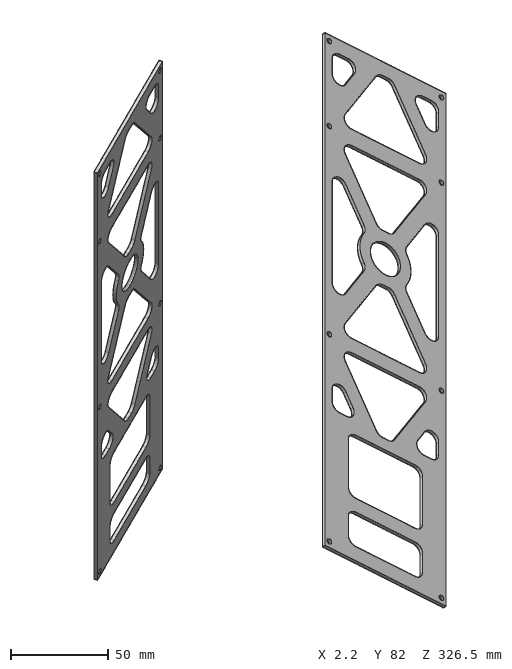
import cadquery as cq
import math

LENGTH = 326.5
WIDTH = 82.0
THICKNESS = 2.0
SIDE_LEAN = 0.2
TURN = -math.degrees(math.atan(SIDE_LEAN / WIDTH))
CORNER_RADIUS = 5.0

RING_Z = 38.5
UPPER_WEB_Z = 105.0
LOWER_WEB_Z = -27.5

TRIANGLE_HEIGHT = 44.0
TRIANGLE_HALF_BASE = 31.7
STRUT_ANGLE = math.radians(58.5)
SLOPE = math.tan(STRUT_ANGLE)
UPPER_WEB_HALF = 5.2
LOWER_WEB_HALF = 4.5

EDGE_WINDOW_Y = 36.0
STRUT_WIDTH = 9.8
RING_RADIUS = 17.3
RING_BORE_RADIUS = 10.0
TOP_WINDOW_Z = 154.0
BOTTOM_WINDOW_Z = -74.0

RECTANGLE_WIDTH = 50.0
LARGE_TOP_Z = -83.3
LARGE_HEIGHT = 40.0
SMALL_TOP_Z = -132.2
SMALL_HEIGHT = 22.0

HOLE_RADIUS = 1.5
HOLE_Y = 38.0
HOLE_END_Z = 159.3
HOLE_ROWS = (HOLE_END_Z, UPPER_WEB_Z, LOWER_WEB_Z, -HOLE_END_Z)


def prism(points):
    """Straight-sided cutter through the whole plate; points are (y, z)."""
    return cq.Workplane("YZ").polyline(points).close().extrude(THICKNESS / 2, both=True)


def disc(y, z, radius):
    """Round cutter through the whole plate."""
    return cq.Workplane("YZ").center(y, z).circle(radius).extrude(THICKNESS / 2, both=True)


def triangle(base_z, direction):
    """Blunt triangle based at base_z, with its tip pointing along direction (+1 up, -1 down)."""
    tip_z = base_z + direction * TRIANGLE_HEIGHT
    tip_half = TRIANGLE_HALF_BASE - TRIANGLE_HEIGHT / SLOPE
    window = prism([
        (-TRIANGLE_HALF_BASE, base_z),
        (TRIANGLE_HALF_BASE, base_z),
        (tip_half, tip_z),
        (-tip_half, tip_z),
    ])
    return window.edges("|X").fillet(CORNER_RADIUS)


def strut_offset():
    """Y distance from a triangle's side to the edge window on the other side of the strut."""
    return STRUT_WIDTH / math.sin(STRUT_ANGLE)


def strut_z(y, web_z, web_half, direction):
    """Height at y of the edge window's sloping side, for a strut starting at a web."""
    return web_z + direction * (web_half + (TRIANGLE_HALF_BASE + strut_offset() - y) * SLOPE)


def end_window(web_z, web_half, direction, end_z):
    """Small three-sided window on the +Y side, closed by a level side at end_z."""
    outer_z = strut_z(EDGE_WINDOW_Y, web_z, web_half, direction)
    rise = direction * (end_z - outer_z)
    window = prism([
        (EDGE_WINDOW_Y, outer_z),
        (EDGE_WINDOW_Y, end_z),
        (EDGE_WINDOW_Y - rise / SLOPE, end_z),
    ])
    return window.edges("|X").fillet(CORNER_RADIUS)


def ring_window():
    """Long window on the +Y side, notched by the ring around the bore."""
    upper_z = strut_z(EDGE_WINDOW_Y, UPPER_WEB_Z, UPPER_WEB_HALF, -1)
    lower_z = strut_z(EDGE_WINDOW_Y, LOWER_WEB_Z, LOWER_WEB_HALF, 1)
    inner_y = EDGE_WINDOW_Y - (upper_z - lower_z) / 2 / SLOPE
    window = prism([
        (EDGE_WINDOW_Y, upper_z),
        (EDGE_WINDOW_Y, lower_z),
        (inner_y, (upper_z + lower_z) / 2),
    ])
    window = window.cut(disc(0, RING_Z, RING_RADIUS))
    return window.edges("|X").fillet(CORNER_RADIUS)


def rectangle(top_z, height):
    """Centred rectangular cutter with rounded corners, hanging from top_z."""
    window = cq.Workplane("XY").box(THICKNESS, RECTANGLE_WIDTH, height)
    return window.edges("|X").fillet(CORNER_RADIUS).translate((0, 0, top_z - height / 2))


plate = cq.Workplane("XY").box(THICKNESS, WIDTH, LENGTH)

for web_z, web_half in ((UPPER_WEB_Z, UPPER_WEB_HALF), (LOWER_WEB_Z, LOWER_WEB_HALF)):
    for direction in (1, -1):
        plate = plate.cut(triangle(web_z + direction * web_half, direction))

for window in (
    end_window(UPPER_WEB_Z, UPPER_WEB_HALF, 1, TOP_WINDOW_Z),
    ring_window(),
    end_window(LOWER_WEB_Z, LOWER_WEB_HALF, -1, BOTTOM_WINDOW_Z),
):
    plate = plate.cut(window).cut(window.mirror("XZ"))

plate = plate.cut(disc(0, RING_Z, RING_BORE_RADIUS))
plate = plate.cut(rectangle(LARGE_TOP_Z, LARGE_HEIGHT))
plate = plate.cut(rectangle(SMALL_TOP_Z, SMALL_HEIGHT))

for row_z in HOLE_ROWS:
    for side in (-1, 1):
        plate = plate.cut(disc(side * HOLE_Y, row_z, HOLE_RADIUS))

result = plate.rotate((0, 0, 0), (0, 0, 1), TURN)